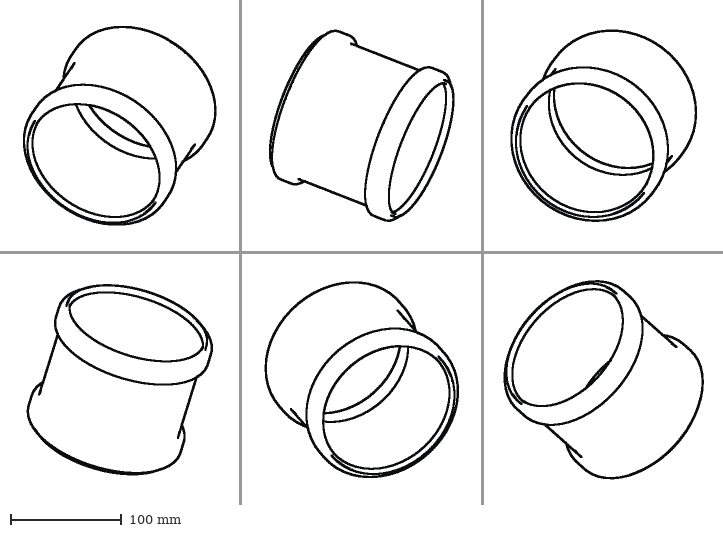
import cadquery as cq

length = 120.0
tube_diameter = 131.5
lip_diameter = 131.8
bead_diameter = 144.0
wall = 2.8
bead_setback = 4.5
bead_width = 16.6
bead_fillet = 3.0
groove_fillet = 1.5
root_fillet = 1.0
mouth_fillet = 1.0
lip_mouth_fillet = 2.0
lip_fillet = 1.0

half_length = length / 2
tube_radius = tube_diameter / 2
lip_radius = lip_diameter / 2
bead_radius = bead_diameter / 2
tube_bore_radius = tube_radius - wall
lip_bore_radius = lip_radius - wall
groove_radius = bead_radius - wall
bead_center = half_length - bead_setback - bead_width / 2
groove_width = bead_width - 2 * wall


def cylinder(radius, width, center):
    """Solid cylinder about the Y axis, centred on the station Y = center."""
    return cq.Workplane("XZ", origin=(0, center + width / 2, 0)).circle(radius).extrude(width)


def end_cylinder(radius, side):
    """Cylinder from the middle of a bead out to the sleeve end on the given side."""
    width = half_length - bead_center
    return cylinder(radius, width, side * (bead_center + width / 2))


def circle_edges(body, radius, stations):
    """Circular edges of the given radius at the distances from Y = 0 in stations."""
    tolerance = 0.01
    return body.edges().filter(
        lambda edge: edge.geomType() == "CIRCLE"
        and abs(edge.radius() - radius) < tolerance
        and any(abs(abs(edge.Center().y) - station) < tolerance for station in stations)
    )


def side_stations(width):
    """Distances from Y = 0 of the two sides of a band centred on a bead."""
    return (bead_center - width / 2, bead_center + width / 2)


def make_outside():
    """Outer envelope: tube, two beads and two end lips, with their fillets."""
    body = cylinder(tube_radius, 2 * bead_center, 0)
    for side in (-1, 1):
        body = body.union(end_cylinder(lip_radius, side))
        body = body.union(cylinder(bead_radius, bead_width, side * bead_center))
    inner_side, outer_side = side_stations(bead_width)
    body = circle_edges(body, bead_radius, (inner_side, outer_side)).fillet(bead_fillet)
    body = circle_edges(body, tube_radius, (inner_side,)).fillet(root_fillet)
    body = circle_edges(body, lip_radius, (outer_side,)).fillet(root_fillet)
    return body


def make_bore():
    """Through bore with a seal groove inside each bead."""
    bore = cylinder(tube_bore_radius, 2 * bead_center, 0)
    for side in (-1, 1):
        bore = bore.union(end_cylinder(lip_bore_radius, side))
        bore = bore.union(cylinder(groove_radius, groove_width, side * bead_center))
    inner_side, outer_side = side_stations(groove_width)
    bore = circle_edges(bore, groove_radius, (inner_side, outer_side)).fillet(groove_fillet)
    bore = circle_edges(bore, tube_bore_radius, (inner_side,)).fillet(mouth_fillet)
    bore = circle_edges(bore, lip_bore_radius, (outer_side,)).fillet(lip_mouth_fillet)
    return bore


sleeve = make_outside().cut(make_bore())
sleeve = circle_edges(sleeve, lip_radius, (half_length,)).fillet(lip_fillet)
result = circle_edges(sleeve, lip_bore_radius, (half_length,)).fillet(lip_fillet)